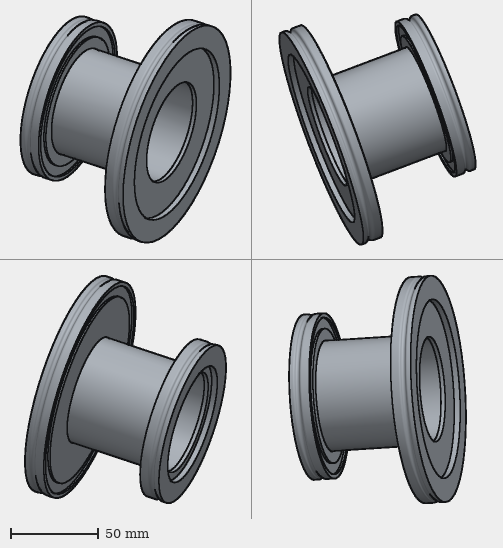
import cadquery as cq
import math

total_length = 76.2
flange_width = 11.8

tube_diameter = 63.5
bore_diameter = 60.2
socket_diameter = 63.8
recess_depth = 3.5
lip_width = 2.5
socket_shoulder = recess_depth + lip_width

small_diameter = 95.0
small_recess_diameter = 70.1
large_diameter = 130.0
large_recess_diameter = 102.7

rim_wall = 2.5
face_groove_width = 6.4
face_groove_depth = 1.3

rim_groove_start = 2.1
rim_groove_width = 5.2
rim_groove_depth = 1.5


def revolve_about_x(profile):
    """Revolve a profile in the XY plane (X axial, Y radial) about the X axis."""
    return profile.close().revolve(360, (0, 0, 0), (1, 0, 0))


def rim_groove(profile, rim_radius):
    """Add the groove section: convex arc, concave root arc, convex arc, all tangent."""
    slope = 2 * math.atan(2 * rim_groove_depth / rim_groove_width)
    arc_radius = rim_groove_width / (4 * math.sin(slope))
    half_run = arc_radius * math.sin(slope / 2)
    half_drop = arc_radius * (1 - math.cos(slope / 2))
    quarter = rim_groove_width / 4
    blend_radius = rim_radius - rim_groove_depth / 2
    end = rim_groove_start + rim_groove_width
    return (
        profile.lineTo(rim_groove_start, rim_radius)
        .threePointArc(
            (rim_groove_start + half_run, rim_radius - half_drop),
            (rim_groove_start + quarter, blend_radius),
        )
        .threePointArc(
            (rim_groove_start + 2 * quarter, rim_radius - rim_groove_depth),
            (end - quarter, blend_radius),
        )
        .threePointArc((end - half_run, rim_radius - half_drop), (end, rim_radius))
    )


def make_flange(diameter, recess_diameter):
    """Flange with its outer face at X = 0 and its inner face toward +X."""
    rim_radius = diameter / 2
    groove_outer = rim_radius - rim_wall
    groove_inner = groove_outer - face_groove_width
    groove_floor = flange_width - face_groove_depth

    profile = cq.Workplane("XY").moveTo(0, recess_diameter / 2).lineTo(0, rim_radius)
    profile = rim_groove(profile, rim_radius)
    profile = (
        profile.lineTo(flange_width, rim_radius)
        .lineTo(flange_width, groove_outer)
        .lineTo(groove_floor, groove_outer)
        .lineTo(groove_floor, groove_inner)
        .lineTo(flange_width, groove_inner)
        .lineTo(flange_width, socket_diameter / 2)
        .lineTo(socket_shoulder, socket_diameter / 2)
        .lineTo(socket_shoulder, bore_diameter / 2)
        .lineTo(recess_depth, bore_diameter / 2)
        .lineTo(recess_depth, recess_diameter / 2)
    )
    return revolve_about_x(profile)


def make_tube():
    """Tube whose ends rest on the socket shoulders of the two flanges."""
    return (
        cq.Workplane("YZ", origin=(socket_shoulder, 0, 0))
        .circle(tube_diameter / 2)
        .circle(bore_diameter / 2)
        .extrude(total_length - 2 * socket_shoulder)
    )


small_flange = make_flange(small_diameter, small_recess_diameter)
large_flange = (
    make_flange(large_diameter, large_recess_diameter)
    .rotate((0, 0, 0), (0, 0, 1), 180)
    .translate((total_length, 0, 0))
)
tube = make_tube()

result = cq.Compound.makeCompound([small_flange.val(), large_flange.val(), tube.val()])